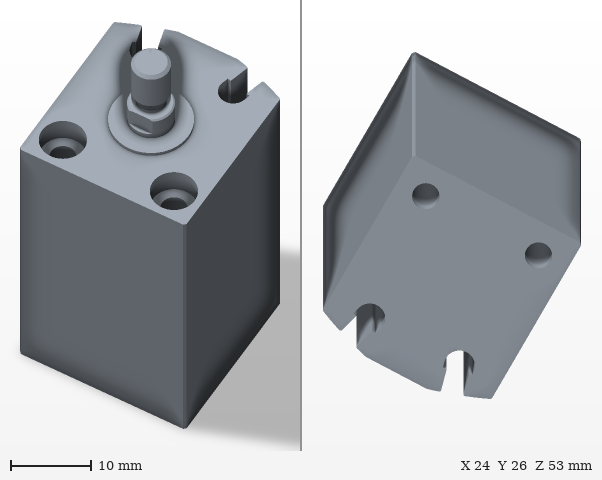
import cadquery as cq
import math

WIDTH = 24.0
HALF_WIDTH = WIDTH / 2
FRONT_Y = -HALF_WIDTH
DEPTH = 26.0
BACK_Y = FRONT_Y + DEPTH
BODY_HEIGHT = 40.95
CORNER_CHAMFER = 0.3

FLAT_HALF_WIDTH = 4.3
CROWN_MID = (8.9, 12.55)
CROWN_END_Y = 11.3
CROWN_CORNER_RADIUS = 0.3

BOSS_DIAMETER = 10.7
BOSS_HEIGHT = 0.55

HOLE_OFFSET = 8.0
HOLE_DIAMETER = 3.4
COUNTERBORE_DIAMETER = 6.0
COUNTERBORE_DEPTH = 3.4

SLOT_CENTER = (6.35, 9.35)
SLOT_TILT = 15
SLOT_RADIUS = 1.9
SLOT_SHOULDER = 0.95
SLOT_THROAT_WIDTH = 2.8
SLOT_LIP_RADIUS = 0.2
SLOT_REACH = 6.35

EDGE_MARGIN = 0.1
MOUTH_INNER_X = 5.3
MOUTH_OUTER_X = 9.55
MOUTH_MIN_Y = 11.9

ROD_TOP = 53.0
ROD_DIAMETER = 6.0
SHOULDER_Z = 45.0
SHOULDER_CHAMFER = 0.2
FLATS_WIDTH = 5.0
FLATS_Z = 42.3
NECK_DIAMETER = 3.8
NECK_FLARE = 0.2
NECK_TOP_Z = 45.7
THREAD_DIAMETER = 5.0
THREAD_START_Z = 47.3
THREAD_CHAMFER = 0.4

BOSS_TOP_Z = BODY_HEIGHT + BOSS_HEIGHT


def make_sensor_slot():
    """Keyhole slot on the +X side, cut through the full height."""
    half_throat = SLOT_THROAT_WIDTH / 2
    return (
        cq.Workplane("XY")
        .moveTo(-SLOT_RADIUS, 0)
        .threePointArc((0, -SLOT_RADIUS), (SLOT_RADIUS, 0))
        .lineTo(SLOT_RADIUS, SLOT_SHOULDER)
        .lineTo(half_throat, SLOT_SHOULDER)
        .lineTo(half_throat, SLOT_REACH)
        .lineTo(-half_throat, SLOT_REACH)
        .lineTo(-half_throat, SLOT_SHOULDER)
        .lineTo(-SLOT_RADIUS, SLOT_SHOULDER)
        .close()
        .extrude(BODY_HEIGHT)
        .rotate((0, 0, 0), (0, 0, 1), -SLOT_TILT)
        .translate(SLOT_CENTER)
    )


def make_housing():
    """Block with crowned back, boss, two mounting holes and two sensor slots."""
    crown_x, crown_y = CROWN_MID
    block = (
        cq.Workplane("XY")
        .moveTo(-HALF_WIDTH, FRONT_Y)
        .lineTo(HALF_WIDTH, FRONT_Y)
        .lineTo(HALF_WIDTH, CROWN_END_Y)
        .threePointArc((crown_x, crown_y), (FLAT_HALF_WIDTH, BACK_Y))
        .lineTo(-FLAT_HALF_WIDTH, BACK_Y)
        .threePointArc((-crown_x, crown_y), (-HALF_WIDTH, CROWN_END_Y))
        .close()
        .extrude(BODY_HEIGHT)
        .edges("|Z and <Y")
        .chamfer(CORNER_CHAMFER)
    )
    crown_corners = cq.selectors.BoxSelector(
        (-WIDTH, CROWN_END_Y - EDGE_MARGIN, 0),
        (WIDTH, CROWN_END_Y + EDGE_MARGIN, BODY_HEIGHT),
    )
    block = block.edges("|Z").edges(crown_corners).fillet(CROWN_CORNER_RADIUS)
    boss = cq.Workplane("XY").circle(BOSS_DIAMETER / 2).extrude(BOSS_TOP_Z)
    slot = make_sensor_slot()
    slotted = block.cut(slot).cut(slot.mirror("YZ"))

    for side in (-1, 1):
        mouth = cq.selectors.BoxSelector(
            (side * MOUTH_INNER_X, MOUTH_MIN_Y, 0),
            (side * MOUTH_OUTER_X, BACK_Y, BODY_HEIGHT),
        )
        slotted = slotted.edges("|Z").edges(mouth).fillet(SLOT_LIP_RADIUS)

    return (
        slotted.union(boss)
        .copyWorkplane(cq.Workplane("XY", origin=(0, 0, BODY_HEIGHT)))
        .pushPoints([(-HOLE_OFFSET, -HOLE_OFFSET), (HOLE_OFFSET, -HOLE_OFFSET)])
        .cboreHole(HOLE_DIAMETER, COUNTERBORE_DIAMETER, COUNTERBORE_DEPTH)
    )


def make_rod():
    """Turned rod with a threaded tip, standing on the boss, with two wrench flats."""
    rod_radius = ROD_DIAMETER / 2
    neck_radius = NECK_DIAMETER / 2
    thread_radius = THREAD_DIAMETER / 2
    flare_bulge = NECK_FLARE * (1 - math.sqrt(0.5))
    rod = (
        cq.Workplane("XZ")
        .moveTo(0, BOSS_TOP_Z)
        .lineTo(rod_radius, BOSS_TOP_Z)
        .lineTo(rod_radius, SHOULDER_Z - SHOULDER_CHAMFER)
        .lineTo(rod_radius - SHOULDER_CHAMFER, SHOULDER_Z)
        .lineTo(neck_radius + NECK_FLARE, SHOULDER_Z)
        .threePointArc(
            (neck_radius + flare_bulge, SHOULDER_Z + flare_bulge),
            (neck_radius, SHOULDER_Z + NECK_FLARE),
        )
        .lineTo(neck_radius, NECK_TOP_Z)
        .lineTo(thread_radius, THREAD_START_Z)
        .lineTo(thread_radius, ROD_TOP - THREAD_CHAMFER)
        .lineTo(thread_radius - THREAD_CHAMFER, ROD_TOP)
        .lineTo(0, ROD_TOP)
        .close()
        .revolve(360, (0, 0, 0), (0, 1, 0))
    )
    flats_height = SHOULDER_Z - FLATS_Z
    for side in (-1, 1):
        flat_cut = (
            cq.Workplane("XY")
            .box(ROD_DIAMETER, ROD_DIAMETER, flats_height, centered=(True, True, False))
            .translate((0, side * (FLATS_WIDTH + ROD_DIAMETER) / 2, FLATS_Z))
        )
        rod = rod.cut(flat_cut)
    return rod


housing = make_housing()
rod = make_rod()

result = cq.Compound.makeCompound([housing.val(), rod.val()])